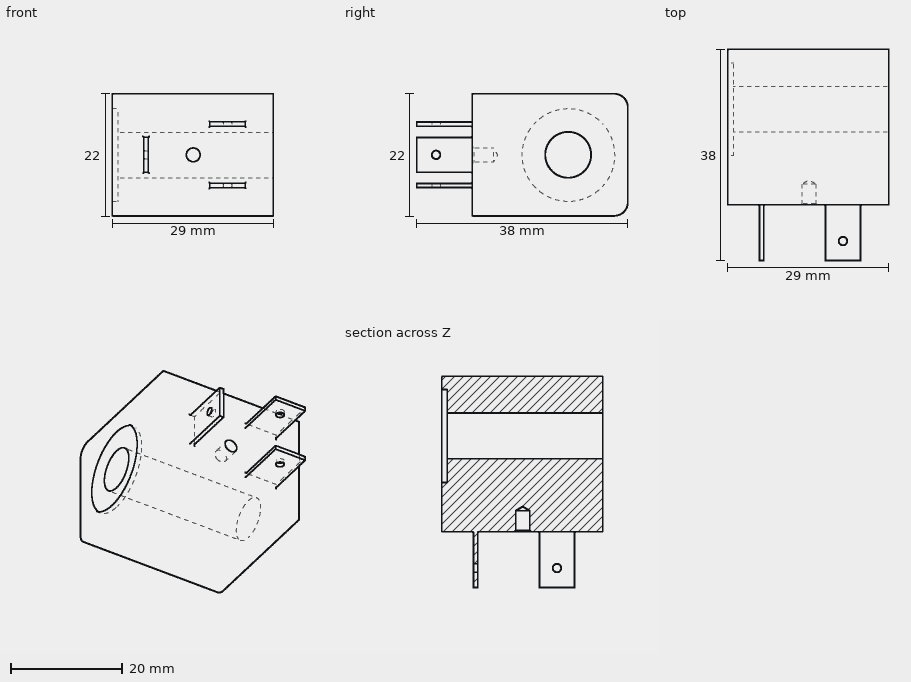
import cadquery as cq
import math

width = 29.0
height = 22.0
total_length = 38.0
terminal_length = 10.0
corner_radius = 2.5
edge_radius = 0.2

bore_diameter = 8.2
bore_to_back = 10.75
recess_diameter = 16.7
recess_depth = 1.0

blade_width = 6.3
blade_thickness = 0.8
blade_hole_diameter = 1.5
blade_hole_to_tip = 3.5
upright_blade_x = -8.4
flat_blade_x = 6.25
flat_blade_z = 5.5

screw_diameter = 2.47
countersink_diameter = 3.05
screw_x = 0.08
screw_depth = 3.8
screw_tip_angle = 118.0

block_length = total_length - terminal_length
bore_y = total_length - bore_to_back


def make_block():
    """Block with large rounded back corners and softened outer edges."""
    block = cq.Workplane("XY").box(width, block_length, height)
    block = block.translate((0, terminal_length + block_length / 2, 0))
    block = block.edges("|X and >Y").fillet(corner_radius)
    return block.faces("<X or >X or <Y").edges().fillet(edge_radius)


def make_bore():
    """Through bore and recess with a rounded rim, cut from the -X face."""
    face = cq.Workplane("YZ", origin=(-width / 2, bore_y, 0))
    bore = face.circle(bore_diameter / 2).extrude(width)
    recess = face.circle(recess_diameter / 2).extrude(recess_depth)
    return bore.union(recess)


def make_screw_hole():
    """Drilled hole with a countersink and a conical tip, revolved about its axis."""
    radius = screw_diameter / 2
    countersink_radius = countersink_diameter / 2
    countersink_depth = countersink_radius - radius
    tip_length = radius / math.tan(math.radians(screw_tip_angle / 2))
    profile = (
        cq.Workplane("XY", origin=(0, terminal_length, 0))
        .moveTo(0, 0)
        .lineTo(countersink_radius, 0)
        .lineTo(radius, countersink_depth)
        .lineTo(radius, screw_depth)
        .lineTo(0, screw_depth + tip_length)
        .close()
    )
    return profile.revolve(360, (0, 0, 0), (0, 1, 0))


def make_blade():
    """Flat blade on the Y axis with a cross hole."""
    blade = cq.Workplane("XY").box(blade_width, terminal_length, blade_thickness)
    blade = blade.translate((0, terminal_length / 2, 0))
    hole = (
        cq.Workplane("XY", origin=(0, blade_hole_to_tip, 0))
        .circle(blade_hole_diameter / 2)
        .extrude(blade_thickness, both=True)
    )
    return blade.cut(hole)


blade = make_blade()
result = make_block().cut(make_bore())

recess_rim = cq.selectors.RadiusNthSelector(-1)
result = result.faces("<X").edges("%CIRCLE").edges(recess_rim).fillet(edge_radius)

result = result.cut(make_screw_hole().translate((screw_x, 0, 0)))
for side in (-1, 1):
    result = result.union(blade.translate((flat_blade_x, 0, side * flat_blade_z)))
upright_blade = blade.rotate((0, 0, 0), (0, 1, 0), 90)
result = result.union(upright_blade.translate((upright_blade_x, 0, 0)))

terminal_face = result.faces("-Y").faces(cq.selectors.AreaNthSelector(-1))
inner_edges = [edge for wire in terminal_face.val().innerWires() for edge in wire.Edges()]
result = result.newObject(inner_edges).fillet(edge_radius)